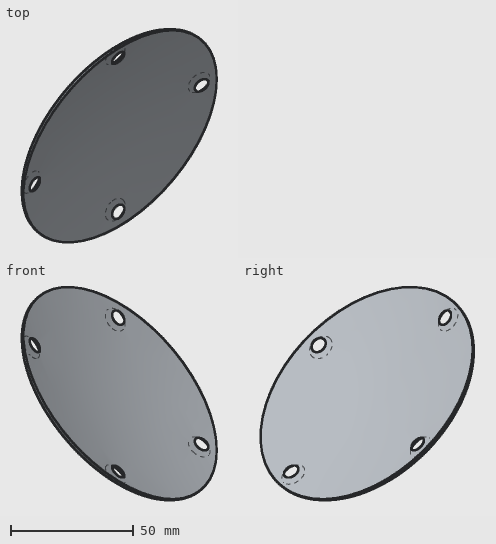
import cadquery as cq
import math

disc_diameter = 103.0
dish_radius = 278.7
thickness = 2.0
rim_fillet = 1.7

hole_circle_radius = 44.4
hole_count = 4
hole_diameter = 6.45
countersink_angle = 90.0
cutter_overrun = 0.9

tilt_about_y = 40.0
roll_about_x = 45.0

rim_radius = disc_diameter / 2
sphere_center_height = math.sqrt(dish_radius**2 - rim_radius**2)


def make_ball(radius):
    """Ball centred on the disc axis, with its poles turned away from the disc."""
    ball = cq.Workplane("XY").sphere(radius)
    return ball.rotate((0, 0, 0), (1, 0, 0), 90).translate((0, 0, sphere_center_height))


def make_dish():
    """Shell between two concentric spheres: hollow side up, its rim in the plane Z = 0."""
    back_radius = dish_radius + thickness
    dish_depth = back_radius - sphere_center_height
    back_rim = sphere_center_height - math.sqrt(back_radius**2 - rim_radius**2)
    blank = cq.Workplane("XY").circle(rim_radius).extrude(-dish_depth)
    dish = blank.intersect(make_ball(back_radius)).cut(make_ball(dish_radius))
    back_edge = cq.selectors.NearestToPointSelector((0, 0, back_rim))
    return dish.edges(back_edge).fillet(rim_fillet)


def make_hole_cutter():
    """Cone square to the dish, widening towards the back face."""
    slope = math.tan(math.radians(countersink_angle / 2))
    small_radius = hole_diameter / 2 - cutter_overrun * slope
    length = thickness + 2 * cutter_overrun
    cone = cq.Solid.makeCone(
        small_radius,
        small_radius + length * slope,
        length,
        pnt=cq.Vector(0, 0, cutter_overrun - dish_radius),
        dir=cq.Vector(0, 0, -1),
    )
    lean = math.degrees(math.asin(hole_circle_radius / dish_radius))
    leaned = cq.Workplane(cone).rotate((0, 0, 0), (0, 1, 0), -lean)
    return leaned.translate((0, 0, sphere_center_height))


disc = make_dish()
hole_cutter = make_hole_cutter()
for index in range(hole_count):
    disc = disc.cut(hole_cutter.rotate((0, 0, 0), (0, 0, 1), index * 360 / hole_count))

tilted_disc = disc.rotate((0, 0, 0), (0, 1, 0), tilt_about_y)
result = tilted_disc.rotate((0, 0, 0), (1, 0, 0), roll_about_x)